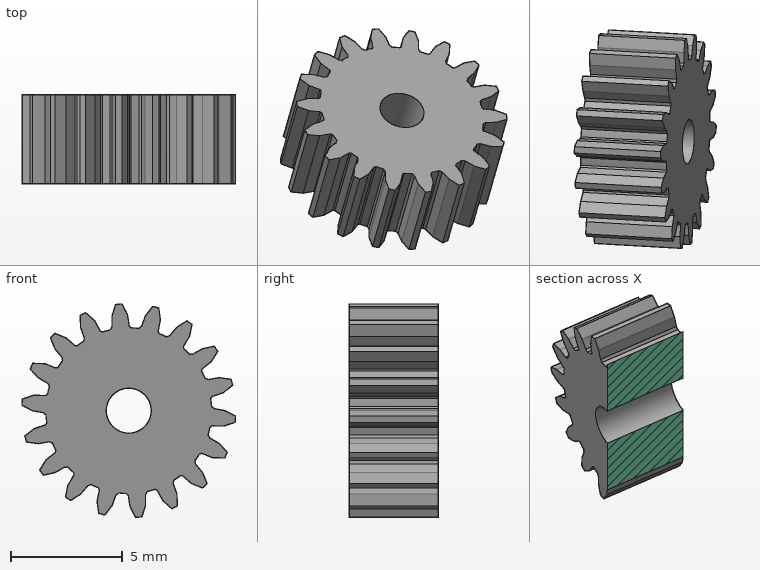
import cadquery as cq
import math

tooth_count = 18
overall_width = 9.59
face_width = 4.0
bore_diameter = 2.0
first_tooth_angle = -4.6

tip_half_width = 0.14
shoulder_height = 4.3
shoulder_half_width = 0.355

trailing_foot_height = 3.77
trailing_foot_half_width = 0.38
trailing_root_half_width = 0.45
leading_foot_height = 3.82
leading_foot_half_width = 0.4
leading_root_half_width = 0.49

root_radius = 3.72

first_tooth_tilt = math.radians(-first_tooth_angle)
corner_offset = tip_half_width * math.sin(first_tooth_tilt)
tip_height = (overall_width / 2 - corner_offset) / math.cos(first_tooth_tilt)


def height_on_root(half_width):
    """Height at which a given half width lies on the root circle."""
    return math.sqrt(root_radius**2 - half_width**2)


tooth_section = [
    (height_on_root(trailing_root_half_width), -trailing_root_half_width),
    (trailing_foot_height, -trailing_foot_half_width),
    (shoulder_height, -shoulder_half_width),
    (tip_height, -tip_half_width),
    (tip_height, tip_half_width),
    (shoulder_height, shoulder_half_width),
    (leading_foot_height, leading_foot_half_width),
    (height_on_root(leading_root_half_width), leading_root_half_width),
]


def tooth_points(index):
    """Section of one tooth turned to its place around the gear axis."""
    angle = math.radians(first_tooth_angle + index * 360 / tooth_count)
    cos_a = math.cos(angle)
    sin_a = math.sin(angle)
    return [(h * cos_a - w * sin_a, h * sin_a + w * cos_a) for h, w in tooth_section]


def root_arc_middle(start, end):
    """Point on the root circle halfway between two points of that circle."""
    x = start[0] + end[0]
    z = start[1] + end[1]
    scale = root_radius / math.hypot(x, z)
    return (x * scale, z * scale)


def gear_outline():
    """Closed outline: straight-sided teeth joined by arcs of the root circle."""
    first_point = tooth_points(0)[0]
    outline = cq.Workplane("XZ").moveTo(*first_point)
    for index in range(tooth_count):
        tooth = tooth_points(index)
        next_root = tooth_points(index + 1)[0]
        if index == tooth_count - 1:
            next_root = first_point
        for point in tooth[1:]:
            outline = outline.lineTo(*point)
        outline = outline.threePointArc(root_arc_middle(tooth[-1], next_root), next_root)
    return outline.close()


gear_body = gear_outline().extrude(face_width / 2, both=True)
bore = cq.Workplane("XZ").circle(bore_diameter / 2).extrude(face_width / 2, both=True)
result = gear_body.cut(bore)